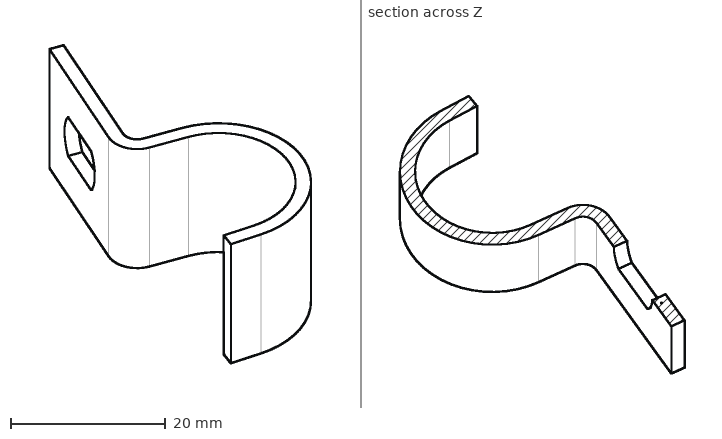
import cadquery as cq
import math

length = 45.75
depth = 21.5
width = 20.0
thickness = 2.0
loop_outer_radius = 12.0
loop_center_x = 33.5
bend_inner_radius = 2.0
tail_angle = math.radians(4.0)
hole_diameter = 9.98
hole_height = 6.5
hole_center_x = 9.98

loop_inner_radius = loop_outer_radius - thickness
loop_center_y = depth - loop_outer_radius
bend_outer_radius = bend_inner_radius + thickness
leg_outer_x = loop_center_x - loop_outer_radius
leg_inner_x = leg_outer_x + thickness
bend_center_x = leg_inner_x - bend_outer_radius
bend_center_y = bend_outer_radius
tail_length = (
    length - loop_center_x - loop_outer_radius * math.cos(tail_angle)
) / math.sin(tail_angle)


def polar(center_x, center_y, radius, angle):
    """Point at a given angle on a circle."""
    return (center_x + radius * math.cos(angle), center_y + radius * math.sin(angle))


def loop_point(radius, angle):
    return polar(loop_center_x, loop_center_y, radius, angle)


def bend_point(radius, angle):
    return polar(bend_center_x, bend_center_y, radius, angle)


def tail_end(radius):
    """End of the straight tail that leaves the loop tangentially."""
    x, y = loop_point(radius, tail_angle)
    return (x + tail_length * math.sin(tail_angle), y - tail_length * math.cos(tail_angle))


def make_strip():
    """Bent strip: flat flange, bend, leg, half loop and free tail."""
    loop_middle = math.pi / 2
    bend_middle = -math.pi / 4
    return (
        cq.Workplane("XY")
        .moveTo(0, 0)
        .lineTo(bend_center_x, 0)
        .threePointArc(bend_point(bend_outer_radius, bend_middle), (leg_inner_x, bend_center_y))
        .lineTo(leg_inner_x, loop_center_y)
        .threePointArc(
            loop_point(loop_inner_radius, loop_middle), loop_point(loop_inner_radius, tail_angle)
        )
        .lineTo(*tail_end(loop_inner_radius))
        .lineTo(*tail_end(loop_outer_radius))
        .lineTo(*loop_point(loop_outer_radius, tail_angle))
        .threePointArc(loop_point(loop_outer_radius, loop_middle), (leg_outer_x, loop_center_y))
        .lineTo(leg_outer_x, bend_center_y)
        .threePointArc(bend_point(bend_inner_radius, bend_middle), (bend_center_x, thickness))
        .lineTo(0, thickness)
        .close()
        .extrude(width)
    )


def make_hole_cutter():
    """Round hole with flats at top and bottom, through the flange."""
    plane = cq.Workplane("XZ", origin=(hole_center_x, thickness, width / 2))
    disc = plane.circle(hole_diameter / 2).extrude(thickness)
    band = plane.rect(hole_diameter, hole_height).extrude(thickness)
    return disc.intersect(band)


result = make_strip().cut(make_hole_cutter())